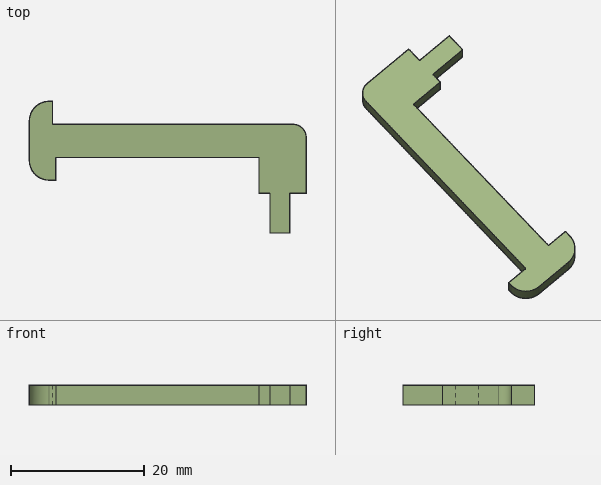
import cadquery as cq

thickness = 3.0
overall_length = 41.45

arm_width = 5.0
elbow_radius = 2

upper_lobe_length = 3.5
lower_lobe_length = 4.0
upper_lobe_height = 3.44
lower_lobe_height = 3.4
head_radius = 3.0

foot_length = 7.1
foot_drop = 5.35
tab_width = 3.0
tab_drop = 5.95
tab_setback = 2.45

head_top = arm_width + upper_lobe_height
head_bottom = -lower_lobe_height
foot_bottom = -foot_drop
tab_bottom = foot_bottom - tab_drop

foot_start = overall_length - foot_length
tab_end = overall_length - tab_setback
tab_start = tab_end - tab_width


def block(x_start, x_end, y_bottom, y_top):
    """Full-thickness rectangular block between the given X and Y limits."""
    return cq.Workplane("XY").box(
        x_end - x_start, y_top - y_bottom, thickness, centered=False
    ).translate((x_start, y_bottom, 0))


def make_head():
    """T-shaped head: two lobes of different length with rounded outer corners."""
    upper_lobe = block(0, upper_lobe_length, 0, head_top)
    lower_lobe = block(0, lower_lobe_length, head_bottom, arm_width)
    return upper_lobe.union(lower_lobe).edges("|Z and <X").fillet(head_radius)


def make_arm_and_foot():
    """Straight arm turning down into the foot, with a rounded outer elbow."""
    arm = block(upper_lobe_length, overall_length, 0, arm_width)
    foot = block(foot_start, overall_length, foot_bottom, arm_width)
    elbow = cq.selectors.NearestToPointSelector((overall_length, arm_width, thickness / 2))
    return arm.union(foot).edges(elbow).fillet(elbow_radius)


def make_tab():
    """Narrow tab below the foot."""
    return block(tab_start, tab_end, tab_bottom, foot_bottom)


result = make_head().union(make_arm_and_foot()).union(make_tab())